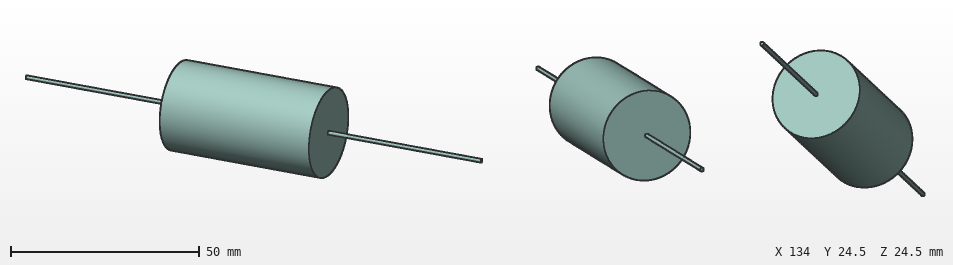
import cadquery as cq

overall_length = 134.0
housing_length = 44.0
housing_diameter = 24.5
lead_diameter = 1.1


def rod_along_x(diameter, length):
    """Cylinder along X, centred on the origin."""
    return cq.Workplane("YZ", origin=(-length / 2, 0, 0)).circle(diameter / 2).extrude(length)


lead = rod_along_x(lead_diameter, overall_length)

bore = rod_along_x(lead_diameter, housing_length)
housing = rod_along_x(housing_diameter, housing_length).cut(bore)

result = cq.Compound.makeCompound([housing.val(), lead.val()])